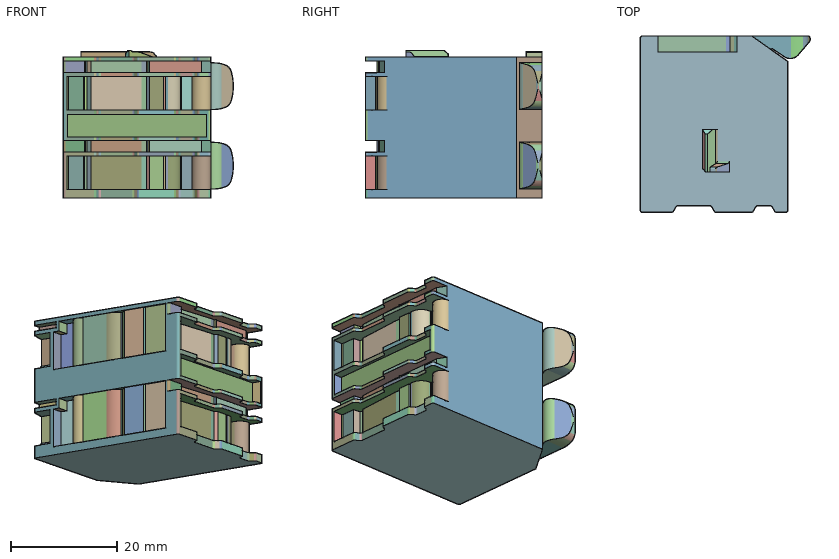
import cadquery as cq
WIDTH = 27.8
DEPTH = 33.2
BODY_TOP = 26.55
CORNER_RADIUS = 0.45
CUT_MARGIN = 1.0

BEVEL_START_X = 20.95
BEVEL_END_Y = 28.4

NOTCHES = ((6.15, 14.05), (21.15, 25.4))
NOTCH_DEPTH = 1.25
NOTCH_RUN = 0.72
NOTCH_RADIUS = 0.5

LEVEL_PITCH = 14.95
LEVELS = (0.0, LEVEL_PITCH)
FLOOR = 1.6
SHELF_BOTTOM = 7.95
SHELF_TOP = 8.65
GAP_TOP = 10.8

CORE_FRONT = 2.15
CORE_RIGHT_FRONT = 2.25
CORE_FLAT_END = 3.8
CORE_FLAT_END_GAP = 4.0
CORE_GROOVE_START = (4.05, 3.6)
CORE_GROOVE_START_GAP = (4.2, 3.6)
CORE_GROOVE_BOTTOM = (4.5, 3.8)
CORE_WALL_START = (5.2, 3.3)
CORE_WALL_END = (14.8, 2.75)
CORE_STEP_FOOT = (15.7, 2.85)
CORE_STEP_MIDDLE = (15.95, 2.45)
POST_WIDTH = 0.75
POST_CHAMFER = 0.25
CORE_STEP_X = 16.2
GAP_RIGHT_FRONT = 2.65
CORE_BEVEL_X = 26.0
CORE_BEVEL_DEPTH = 0.9
BAY_BACK = 5.0
SLIT_LEFT = 18.88
SLIT_RIGHT = 19.25
ROUND_START_X = 19.8
SLIT_DEPTH = 1.0
CORE_ROUND_RADIUS = 2.3
PIN_RADIUS = 1.78
PIN_Y = 4.0
ROUND_LIP = 0.15
ROUND_LIP_Y = 4.7

POCKET_WALL = 0.85
POCKET_BOTTOM = 11.45
POCKET_TOP = 15.68
POCKET_DEPTH = 1.8

WINDOW_FRONT = 2.95
WINDOW_BACK = 28.7
WINDOW_STEP_BACK = 27.4
WINDOW_STEP_Z = 8.9
WINDOW_DEEP = 2.6
RIB_RADIUS = 1.4
RIB_Y = 23.4
PANEL_FRONT_X = 0.4
PANEL_MIDDLE_X = 0.25
PANEL_REAR_X = 0.15
PANEL_SPLIT_Y = 8.2
PANEL_GROOVE = 0.3
GROOVE_X = 1.1
GROOVE_FRONT_Y = 12.6
GROOVE_BOTTOM_Y = 13.6
ROUND_START_Y = 14.0
ROUND_END_Y = 16.6
REAR_PANEL_END_Y = 22.0

RECESS_FRONT = 29.5
RECESS_DEPTH = 2.55
RECESS_BOTTOM = 2.36
RECESS_RAMP_X = 1.5
RECESS_RAMP_Z = 3.4
RECESS_TOP = 8.9
RECESS_TOP_DROP = 0.32
SLOT_FRONT = 28.05
SLOT_BOTTOM = 9.65
SLOT_RAMP_X = 1.3
SLOT_DEPTH = 1.8
SLOT_RAMP_Z = 10.15

KNOB_BOTTOM = 1.7
KNOB_TOP = 10.5
KNOB_TIP_X = 32.0
KNOB_ROOT_Y = 31.5
KNOB_NECK = (24.6, 30.4)
KNOB_NECK_TOP = (24.8, 30.8)
KNOB_NOSE_START = (27.3, 29.15)
KNOB_NOSE_MIDDLE = (28.4, 28.93)
KNOB_NOSE_END = (29.8, 29.7)
KNOB_TIP_START = (31.85, 32.1)
KNOB_TIP_MIDDLE_Y = 32.7
KNOB_TIP_END_X = 31.7
KNOB_SHOULDER_X = 28.4
KNOB_SHOULDER_END = (30.7, 0.5)
KNOB_BEND_MIDDLE = (31.2, 0.9)
KNOB_BEND_END = (31.6, 1.6)

BAR_LEFT = 3.35
BAR_FLAT_END = 16.2
BAR_SLOPE_START = 16.9
BAR_SLOPE_DROP = 0.15
BAR_RIGHT = 17.65
BAR_WIDTH = 3.0
BAR_TOP = 27.55
TROUGH_END = 18.2
TROUGH_DEPTH = 0.7

MARK_TOP = 27.8
MARK_LEFT = 11.7
MARK_RIDGE_LEFT = 12.2
MARK_RIDGE_RIGHT = 12.7
MARK_STEM_RIGHT = 14.55
MARK_LEG_TOP = 27.5
MARK_LEG_RIDGE_END = 14.5
MARK_LEG_RIDGE_BACK = 8.55
MARK_LEG_BORDER = 0.33
MARK_LEG_BORDER_DROP = 0.1
MARK_LEG_RIGHT = 16.8
MARK_EDGE_RUN = 0.35
MARK_EDGE_RISE = 0.1
MARK_FRONT = 7.58
MARK_LEG_BACK = 9.55
MARK_BACK = 15.57
MARK_SIDE_Z = 27.1
MARK_END_RUN = 0.8
MARK_CHAMFER = 0.68


def prism_z(outline, bottom, top):
    """Extrude a closed XY outline between two heights."""
    return outline.extrude(top - bottom).translate((0, 0, bottom))


def prism_y(points, front, back):
    """Extrude a closed XZ polygon from front to back along Y."""
    return cq.Workplane("XZ").polyline(points).close().extrude(front - back).translate((0, front, 0))


def box(x0, x1, y0, y1, z0, z1):
    return cq.Workplane("XY").box(x1 - x0, y1 - y0, z1 - z0, centered=False).translate((x0, y0, z0))


def body_block():
    outline = (
        cq.Workplane("XY")
        .moveTo(0, 0)
        .lineTo(WIDTH, 0)
        .lineTo(WIDTH, BEVEL_END_Y)
        .lineTo(BEVEL_START_X, DEPTH)
        .lineTo(0, DEPTH)
        .close()
    )
    block = prism_z(outline, 0, BODY_TOP)
    block = block.edges("|Z and (<X or (>X and <Y))").fillet(CORNER_RADIUS)
    for left, right in NOTCHES:
        notch = prism_z(
            cq.Workplane("XY").polyline([
                (left, 0),
                (left + NOTCH_RUN, NOTCH_DEPTH),
                (right - NOTCH_RUN, NOTCH_DEPTH),
                (right, 0),
            ]).close(),
            0, BODY_TOP,
        )
        block = block.cut(notch)
        edges = cq.selectors.BoxSelector(
            (left - NOTCH_RUN, -CUT_MARGIN, -CUT_MARGIN),
            (right + NOTCH_RUN, NOTCH_DEPTH + CUT_MARGIN, BODY_TOP + CUT_MARGIN),
        )
        block = block.edges("|Z").edges(edges).fillet(NOTCH_RADIUS)
    return block


def core_left_part(outline, flat_end, groove_start):
    """Core face from the left flat to the foot of the middle step; the groove's start varies."""
    return (
        outline
        .lineTo(flat_end, CORE_FRONT)
        .lineTo(*groove_start)
        .lineTo(*CORE_GROOVE_BOTTOM)
        .lineTo(*CORE_WALL_START)
        .lineTo(*CORE_WALL_END)
        .lineTo(*CORE_STEP_FOOT)
    )


def lower_front_bay():
    start = (
        cq.Workplane("XY")
        .moveTo(POST_WIDTH, -CUT_MARGIN)
        .lineTo(POST_WIDTH, CORE_FRONT - POST_CHAMFER)
        .lineTo(POST_WIDTH + POST_CHAMFER, CORE_FRONT)
    )
    round_end = ROUND_START_X + CORE_ROUND_RADIUS
    pin_x = WIDTH - PIN_RADIUS
    outline = (
        core_left_part(start, CORE_FLAT_END, CORE_GROOVE_START)
        .lineTo(CORE_STEP_X, CORE_RIGHT_FRONT)
        .lineTo(SLIT_LEFT, CORE_RIGHT_FRONT)
        .lineTo(SLIT_LEFT, CORE_RIGHT_FRONT + SLIT_DEPTH)
        .lineTo(SLIT_RIGHT, CORE_RIGHT_FRONT + SLIT_DEPTH)
        .lineTo(SLIT_RIGHT, CORE_RIGHT_FRONT)
        .lineTo(ROUND_START_X, CORE_RIGHT_FRONT)
        .radiusArc((round_end, CORE_RIGHT_FRONT + CORE_ROUND_RADIUS), -CORE_ROUND_RADIUS)
        .lineTo(round_end, ROUND_LIP_Y)
        .lineTo(round_end + ROUND_LIP, ROUND_LIP_Y)
        .lineTo(round_end + ROUND_LIP, BAY_BACK)
        .lineTo(pin_x - PIN_RADIUS, BAY_BACK)
        .lineTo(pin_x - PIN_RADIUS, PIN_Y)
        .lineTo(WIDTH + CUT_MARGIN, PIN_Y)
        .lineTo(WIDTH + CUT_MARGIN, -CUT_MARGIN)
        .close()
    )
    bay = prism_z(outline, FLOOR, SHELF_BOTTOM)
    pin = prism_z(
        cq.Workplane("XY").center(pin_x, PIN_Y).circle(PIN_RADIUS),
        FLOOR, SHELF_BOTTOM,
    )
    return bay.cut(pin)


def upper_front_gap():
    start = (
        cq.Workplane("XY")
        .moveTo(-CUT_MARGIN, -CUT_MARGIN)
        .lineTo(-CUT_MARGIN, CORE_FRONT + CORNER_RADIUS)
        .lineTo(0, CORE_FRONT + CORNER_RADIUS)
        .radiusArc((CORNER_RADIUS, CORE_FRONT), -CORNER_RADIUS)
    )
    outline = (
        core_left_part(start, CORE_FLAT_END_GAP, CORE_GROOVE_START_GAP)
        .lineTo(*CORE_STEP_MIDDLE)
        .lineTo(CORE_STEP_X, GAP_RIGHT_FRONT)
        .lineTo(CORE_BEVEL_X, GAP_RIGHT_FRONT)
        .lineTo(WIDTH, GAP_RIGHT_FRONT + CORE_BEVEL_DEPTH)
        .lineTo(WIDTH + CUT_MARGIN, GAP_RIGHT_FRONT + CORE_BEVEL_DEPTH)
        .lineTo(WIDTH + CUT_MARGIN, -CUT_MARGIN)
        .close()
    )
    return prism_z(outline, SHELF_TOP, GAP_TOP)


def side_window():
    outline = (
        cq.Workplane("XY")
        .moveTo(-CUT_MARGIN, WINDOW_FRONT)
        .lineTo(PANEL_FRONT_X, WINDOW_FRONT)
        .lineTo(PANEL_FRONT_X, PANEL_SPLIT_Y - PANEL_GROOVE)
        .lineTo(PANEL_MIDDLE_X, PANEL_SPLIT_Y)
        .lineTo(PANEL_MIDDLE_X, GROOVE_FRONT_Y)
        .lineTo(GROOVE_X, GROOVE_BOTTOM_Y)
        .lineTo(GROOVE_X, ROUND_START_Y)
        .radiusArc((PANEL_REAR_X, ROUND_END_Y), ROUND_END_Y - ROUND_START_Y)
        .lineTo(PANEL_REAR_X, REAR_PANEL_END_Y)
        .lineTo(WINDOW_DEEP, REAR_PANEL_END_Y)
        .lineTo(WINDOW_DEEP, WINDOW_BACK)
        .lineTo(-CUT_MARGIN, WINDOW_BACK)
        .close()
    )
    window = prism_z(outline, FLOOR, GAP_TOP)
    rib = prism_z(cq.Workplane("XY").center(RIB_RADIUS, RIB_Y).circle(RIB_RADIUS), FLOOR, GAP_TOP)
    rib_root = box(RIB_RADIUS, WINDOW_DEEP, RIB_Y - RIB_RADIUS, RIB_Y + RIB_RADIUS, FLOOR, GAP_TOP)
    corner = box(-CUT_MARGIN, WINDOW_DEEP, WINDOW_STEP_BACK, WINDOW_BACK, WINDOW_STEP_Z, GAP_TOP)
    return window.cut(rib).cut(rib_root).cut(corner)


def corner_recess():
    return prism_y([
        (-CUT_MARGIN, RECESS_BOTTOM),
        (RECESS_RAMP_X, RECESS_BOTTOM),
        (RECESS_DEPTH, RECESS_RAMP_Z),
        (RECESS_DEPTH, RECESS_TOP - RECESS_TOP_DROP),
        (0, RECESS_TOP),
        (-CUT_MARGIN, RECESS_TOP),
    ], RECESS_FRONT, DEPTH + CUT_MARGIN)


def corner_slot():
    return prism_y([
        (-CUT_MARGIN, SLOT_BOTTOM),
        (SLOT_RAMP_X, SLOT_BOTTOM),
        (SLOT_DEPTH, SLOT_RAMP_Z),
        (SLOT_DEPTH, GAP_TOP),
        (-CUT_MARGIN, GAP_TOP),
    ], SLOT_FRONT, DEPTH + CUT_MARGIN)


def below_top(point):
    """Turn (X, distance below the knob's top) into an (X, Z) point."""
    return (point[0], KNOB_TOP - point[1])


def knob():
    plan = (
        cq.Workplane("XY")
        .moveTo(BEVEL_START_X, DEPTH)
        .lineTo(BEVEL_START_X, KNOB_ROOT_Y)
        .lineTo(*KNOB_NECK)
        .lineTo(*KNOB_NECK_TOP)
        .lineTo(*KNOB_NOSE_START)
        .threePointArc(KNOB_NOSE_MIDDLE, KNOB_NOSE_END)
        .lineTo(*KNOB_TIP_START)
        .threePointArc((KNOB_TIP_X, KNOB_TIP_MIDDLE_Y), (KNOB_TIP_END_X, DEPTH))
        .close()
    )
    middle = (KNOB_BOTTOM + KNOB_TOP) / 2
    half_profile = (
        cq.Workplane("XZ")
        .moveTo(BEVEL_START_X, middle)
        .lineTo(BEVEL_START_X, KNOB_TOP)
        .lineTo(KNOB_SHOULDER_X, KNOB_TOP)
        .tangentArcPoint(below_top(KNOB_SHOULDER_END), relative=False)
        .threePointArc(below_top(KNOB_BEND_MIDDLE), below_top(KNOB_BEND_END))
        .tangentArcPoint((KNOB_TIP_X, middle), relative=False)
        .close()
        .extrude(-DEPTH)
    )
    side = half_profile.union(half_profile.mirror("XY", (0, 0, middle)))
    return prism_z(plan, KNOB_BOTTOM, KNOB_TOP).intersect(side)


def rear_bar():
    return prism_y([
        (BAR_LEFT, BODY_TOP - TROUGH_DEPTH),
        (BAR_LEFT, BAR_TOP),
        (BAR_FLAT_END, BAR_TOP),
        (BAR_SLOPE_START, BAR_TOP - BAR_SLOPE_DROP),
        (BAR_RIGHT, BODY_TOP),
        (BAR_RIGHT, BODY_TOP - TROUGH_DEPTH),
    ], DEPTH - BAR_WIDTH, DEPTH)


def bar_trough():
    return prism_y([
        (BAR_RIGHT, BODY_TOP),
        (TROUGH_END, BODY_TOP - TROUGH_DEPTH),
        (TROUGH_END, BODY_TOP),
    ], DEPTH - BAR_WIDTH, DEPTH)


def cover_mark():
    stem = prism_y([
        (MARK_LEFT, BODY_TOP),
        (MARK_LEFT, MARK_SIDE_Z),
        (MARK_RIDGE_LEFT, MARK_TOP),
        (MARK_RIDGE_RIGHT, MARK_TOP),
        (MARK_STEM_RIGHT - MARK_EDGE_RUN, BODY_TOP + MARK_EDGE_RISE),
        (MARK_STEM_RIGHT, BODY_TOP),
    ], MARK_FRONT, MARK_BACK)
    leg = prism_y([
        (MARK_RIDGE_LEFT, BODY_TOP),
        (MARK_RIDGE_LEFT, MARK_LEG_TOP),
        (MARK_LEG_RIDGE_END - MARK_LEG_BORDER, MARK_LEG_TOP),
        (MARK_LEG_RIDGE_END, MARK_LEG_TOP - MARK_LEG_BORDER_DROP),
        (MARK_LEG_RIGHT, BODY_TOP),
    ], MARK_FRONT, MARK_LEG_BACK)
    leg_section = (
        cq.Workplane("YZ")
        .polyline([
            (MARK_FRONT, BODY_TOP),
            (MARK_FRONT, MARK_LEG_TOP),
            (MARK_LEG_RIDGE_BACK - MARK_LEG_BORDER, MARK_LEG_TOP),
            (MARK_LEG_RIDGE_BACK, MARK_LEG_TOP - MARK_LEG_BORDER_DROP),
            (MARK_LEG_BACK - MARK_EDGE_RUN, BODY_TOP + MARK_EDGE_RISE),
            (MARK_LEG_BACK, BODY_TOP),
        ])
        .close()
        .extrude(WIDTH)
    )
    leg = leg.intersect(leg_section)
    end_slope = (
        cq.Workplane("YZ")
        .polyline([
            (MARK_BACK, MARK_SIDE_Z),
            (MARK_BACK, MARK_TOP),
            (MARK_BACK - MARK_END_RUN, MARK_TOP),
        ])
        .close()
        .extrude(WIDTH)
    )
    corner = prism_z(
        cq.Workplane("XY").polyline([
            (MARK_LEFT, MARK_FRONT),
            (MARK_LEFT + MARK_CHAMFER, MARK_FRONT),
            (MARK_LEFT, MARK_FRONT + MARK_CHAMFER),
        ]).close(),
        BODY_TOP, MARK_TOP,
    )
    return stem.union(leg).cut(end_slope).cut(corner)


def long_pocket():
    return box(
        POCKET_WALL, WIDTH - POCKET_WALL, -CUT_MARGIN, POCKET_DEPTH, POCKET_BOTTOM, POCKET_TOP
    )


result = body_block().cut(long_pocket())
level_cuts = (lower_front_bay(), upper_front_gap(), side_window(), corner_recess(), corner_slot())
for level in LEVELS:
    for cutter in level_cuts:
        result = result.cut(cutter.translate((0, 0, level)))
    result = result.union(knob().translate((0, 0, level)))
result = result.cut(bar_trough()).union(rear_bar()).union(cover_mark())